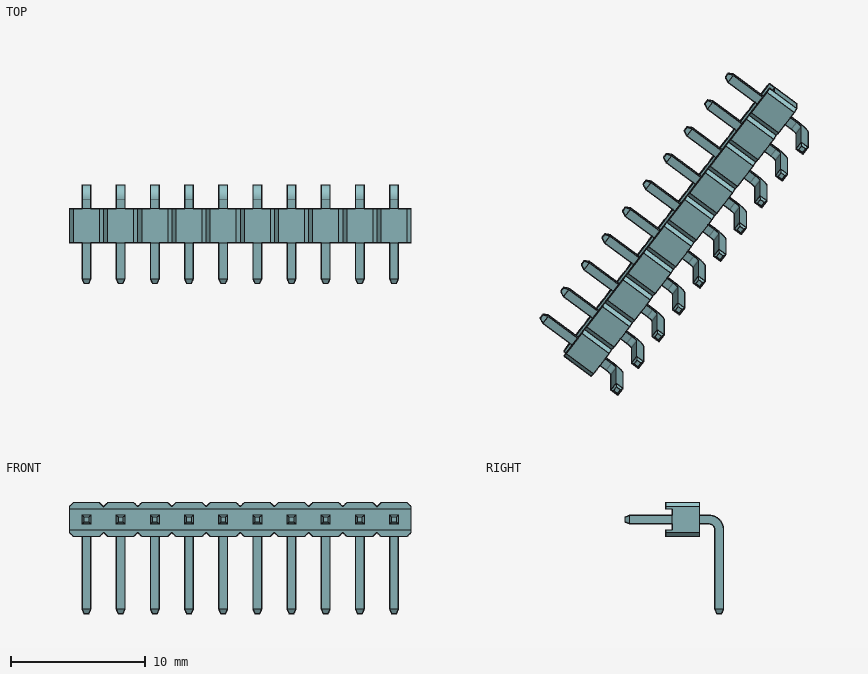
import cadquery as cq


pin_count = 10
row_length = 25.4
pitch = row_length / pin_count
housing_depth = 2.55
housing_height = 2.55
notch_size = 0.3
channel_height = 1.55
channel_depth = 0.48

pin_width = 0.65
contact_reach = 3.02
tail_setback = 1.78
tail_drop = 5.75
outer_bend_radius = 1.1
tip_length = 0.35
tip_width = 0.35

housing_front = -housing_depth / 2
housing_back = housing_depth / 2
contact_end = housing_front - contact_reach
tail_back = housing_back + tail_setback
tail_end = -housing_height / 2 - tail_drop
half_pin = pin_width / 2
inner_bend_radius = outer_bend_radius - pin_width


def make_segment(x_center):
    """One pitch of the housing: a block with its four lengthwise edges chamfered.

    Neighbouring chamfers meet to form the V notches between the pins.
    """
    return (
        cq.Workplane("XY")
        .box(pitch, housing_depth, housing_height)
        .edges("|Y")
        .chamfer(notch_size)
        .translate((x_center, 0, 0))
    )


def make_channel():
    """The shallow channel cut along the whole front face of the housing."""
    return cq.Workplane("XY").box(row_length, channel_depth, channel_height).translate(
        (0, housing_front + channel_depth / 2, 0)
    )


def make_tip(base_plane):
    """A short square taper that closes one end of a pin."""
    return (
        cq.Workplane(base_plane)
        .rect(pin_width, pin_width)
        .workplane(offset=tip_length)
        .rect(tip_width, tip_width)
        .loft()
    )


def make_pin():
    """A square pin with a rounded right-angle bend and two tapered tips."""
    contact_shoulder = contact_end + tip_length
    tail_shoulder = tail_end + tip_length
    tail_center = tail_back - half_pin

    shank = (
        cq.Workplane("YZ")
        .moveTo(contact_shoulder, half_pin)
        .lineTo(tail_back - outer_bend_radius, half_pin)
        .radiusArc((tail_back, half_pin - outer_bend_radius), outer_bend_radius)
        .lineTo(tail_back, tail_shoulder)
        .lineTo(tail_back - pin_width, tail_shoulder)
        .lineTo(tail_back - pin_width, -half_pin - inner_bend_radius)
        .radiusArc((tail_back - outer_bend_radius, -half_pin), -inner_bend_radius)
        .lineTo(contact_shoulder, -half_pin)
        .close()
        .extrude(half_pin, both=True)
    )
    contact_plane = cq.Plane(origin=(0, contact_shoulder, 0), xDir=(1, 0, 0), normal=(0, -1, 0))
    tail_plane = cq.Plane(origin=(0, tail_center, tail_shoulder), xDir=(1, 0, 0), normal=(0, 0, -1))
    return shank.union(make_tip(contact_plane)).union(make_tip(tail_plane))


pin_positions = [(index - (pin_count - 1) / 2) * pitch for index in range(pin_count)]

housing = make_segment(pin_positions[0])
for x_center in pin_positions[1:]:
    housing = housing.union(make_segment(x_center))
housing = housing.clean().cut(make_channel())

pin = make_pin()
result = housing
for x_center in pin_positions:
    result = result.union(pin.translate((x_center, 0, 0)))